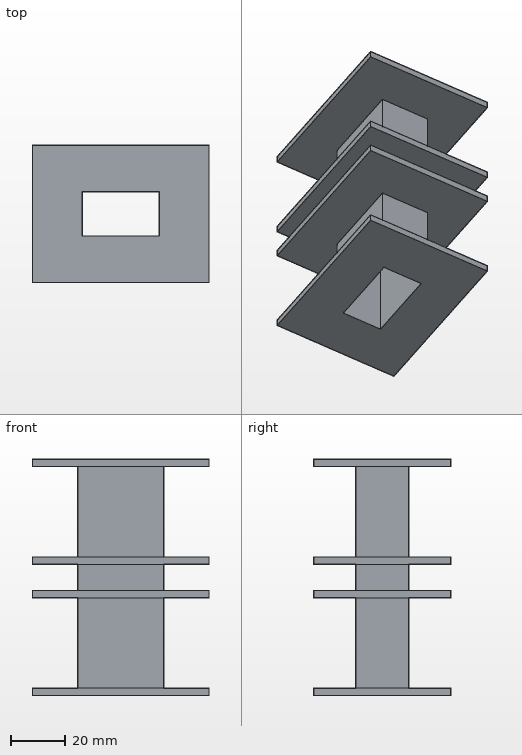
import cadquery as cq

flange_length = 65.4
flange_width = 50.8
height = 87.5

flange_thickness = 2.8
middle_gap = 9.6

tube_length = 31.9
tube_width = 19.7
wall = 1.75
bore_length = tube_length - 2 * wall
bore_width = tube_width - 2 * wall


def centred_block(length, width, depth, base_z):
    """Block centred on the Z axis and rising from base_z."""
    return cq.Workplane("XY").workplane(offset=base_z).rect(length, width).extrude(depth)


flange_bases = [
    -height / 2,
    -middle_gap / 2 - flange_thickness,
    middle_gap / 2,
    height / 2 - flange_thickness,
]

body = centred_block(tube_length, tube_width, height, -height / 2)
for base_z in flange_bases:
    body = body.union(centred_block(flange_length, flange_width, flange_thickness, base_z))

bore = centred_block(bore_length, bore_width, height, -height / 2)
result = body.cut(bore)